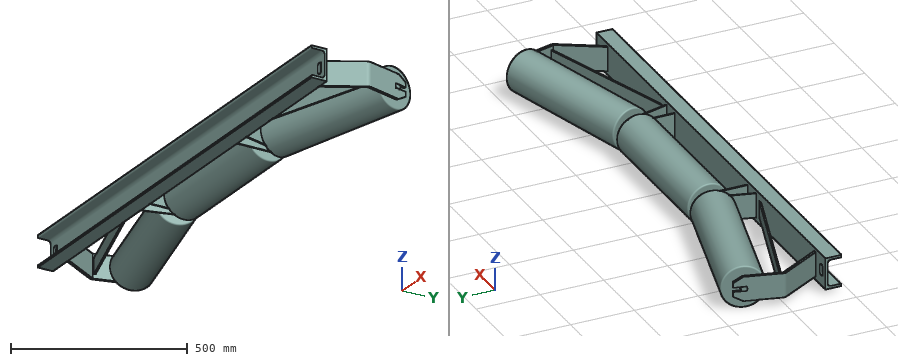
import cadquery as cq
import math

BEAM_LENGTH = 1500.0
BEAM_HEIGHT = 100.0
BEAM_DEPTH = 50.0
WEB_THICKNESS = 8.0
FLANGE_THICKNESS = 8.4
BEAM_ROOT_RADIUS = 9.9
FLANGE_TOE_RADIUS = 3.8
MOUNT_SLOT_LENGTH = 33.0
MOUNT_SLOT_WIDTH = 18.0
MOUNT_SLOT_X = 722.0
MOUNT_SLOT_CORNER = 6.0

TROUGH_ANGLE = 15
ROLLER_DIAMETER = 132.0
ROLLER_LENGTH = 465.0
ROLLER_EDGE = 5.0
MIDDLE_ROLLER_Y = 169.0
SIDE_ROLLER_X = 495.0
SIDE_ROLLER_Y = 233.0
SHAFT_DIAMETER = 20.0
SHAFT_FLAT_WIDTH = 14.0

BRACKET_HEIGHT = 78.0
INNER_SHEET = 5.0
INNER_BEND_RADIUS = 12.0
INNER_BEND_X = 248.0
INNER_BEND_Y = 181.0

OUTER_SHEET = 8.0
KNEE_X = 762.0
KNEE_Y = 182.0
KNEE_RADIUS = 18.0
STRUT_ANGLE = 30
LEG_LENGTH = 149.0
LEG_CORNER_ALONG = 29.0
LEG_CORNER_ACROSS = 17.0

BRACE_SHEET = 5.0
BRACE_HEIGHT = 50.0
BRACE_FOOT_X = 315.0
BRACE_ANGLE = 18


def along(point, angle, distance):
    """Point reached from `point` by going `distance` at `angle` degrees in the XY plane."""
    turn = math.radians(angle)
    return (point[0] + distance * math.cos(turn), point[1] + distance * math.sin(turn))


def down_to_beam(point, angle):
    """Point where the line through `point` at `angle` degrees meets the top of the beam."""
    return along(point, angle, (BEAM_DEPTH - point[1]) / math.sin(math.radians(angle)))


def extrude_level(outline, height):
    """Extrude a closed XY outline evenly to both sides of the XY plane."""
    return outline.extrude(height / 2, both=True)


def place_at_axis(body, center, tilt):
    """Move a body modelled along X at the origin onto a roller axis."""
    return body.rotate((0, 0, 0), (0, 0, 1), tilt).translate((center[0], center[1], 0))


def with_mirror_copy(body):
    """The body on the +X side and its mirror image on the -X side, as separate solids."""
    return [body.val(), body.mirror("YZ").val()]


def distance_on_axis(point):
    """Signed distance of `point` from the side roller's center, along its tilted axis."""
    tilt = math.radians(TROUGH_ANGLE)
    return (point[0] - SIDE_ROLLER_X) * math.cos(tilt) + (point[1] - SIDE_ROLLER_Y) * math.sin(tilt)


MIDDLE_CENTER = (0, MIDDLE_ROLLER_Y)
SIDE_CENTER = (SIDE_ROLLER_X, SIDE_ROLLER_Y)
INNER_BEND = (INNER_BEND_X, INNER_BEND_Y)
KNEE = (KNEE_X, KNEE_Y)
INSIDE_RADIUS = INNER_BEND_RADIUS - INNER_SHEET

MIDDLE_SHAFT_END = INNER_BEND_X - INSIDE_RADIUS
SIDE_SHAFT_START = distance_on_axis(INNER_BEND) + INSIDE_RADIUS
SIDE_SHAFT_END = distance_on_axis(KNEE)


def make_beam():
    web_inside = BEAM_DEPTH - WEB_THICKNESS
    flange_gap = BEAM_HEIGHT - 2 * FLANGE_THICKNESS
    beam = cq.Workplane("XY").box(BEAM_LENGTH, BEAM_DEPTH, BEAM_HEIGHT).translate((0, BEAM_DEPTH / 2, 0))
    hollow = (
        cq.Workplane("XY")
        .box(BEAM_LENGTH, web_inside, flange_gap)
        .translate((0, web_inside / 2, 0))
        .edges(">Y and |X")
        .fillet(BEAM_ROOT_RADIUS)
    )
    slots = (
        cq.Workplane("XZ")
        .pushPoints([(-MOUNT_SLOT_X, 0), (MOUNT_SLOT_X, 0)])
        .rect(MOUNT_SLOT_WIDTH, MOUNT_SLOT_LENGTH)
        .extrude(-BEAM_DEPTH)
        .edges("|Y")
        .fillet(MOUNT_SLOT_CORNER)
    )
    inside_toe_edges = cq.selectors.BoxSelector(
        (-BEAM_LENGTH, -FLANGE_THICKNESS / 2, -flange_gap / 2 - FLANGE_THICKNESS / 2),
        (BEAM_LENGTH, FLANGE_THICKNESS / 2, flange_gap / 2 + FLANGE_THICKNESS / 2),
    )
    channel = beam.cut(hollow).edges("|X").edges(inside_toe_edges).fillet(FLANGE_TOE_RADIUS)
    return channel.cut(slots)


def make_shaft(start, end):
    """Round shaft along X with two flats across Z."""
    length = end - start
    round_bar = cq.Workplane("YZ", origin=(start, 0, 0)).circle(SHAFT_DIAMETER / 2).extrude(length)
    flats = cq.Workplane("YZ", origin=(start, 0, 0)).rect(SHAFT_DIAMETER, SHAFT_FLAT_WIDTH).extrude(length)
    return round_bar.intersect(flats)


def make_roller(shaft_start, shaft_end):
    shell = (
        cq.Workplane("YZ", origin=(-ROLLER_LENGTH / 2, 0, 0))
        .circle(ROLLER_DIAMETER / 2)
        .extrude(ROLLER_LENGTH)
        .edges()
        .fillet(ROLLER_EDGE)
    )
    return shell.union(make_shaft(shaft_start, shaft_end))


def make_shaft_notch(start, end):
    """Open-topped notch along X that the shaft drops into."""
    length = end - start
    opening = (
        cq.Workplane("XY")
        .box(length, ROLLER_DIAMETER, SHAFT_FLAT_WIDTH, centered=(False, False, True))
        .translate((start, 0, 0))
    )
    return opening.union(make_shaft(start, end))


def make_inner_bracket():
    upright_outside = (INNER_BEND_X - INNER_BEND_RADIUS, INNER_BEND_Y)
    upright_inside = (INNER_BEND_X - INSIDE_RADIUS, INNER_BEND_Y)
    tilted_outside = along(INNER_BEND, TROUGH_ANGLE, INNER_BEND_RADIUS)
    tilted_inside = along(INNER_BEND, TROUGH_ANGLE, INSIDE_RADIUS)
    leg_angle = TROUGH_ANGLE - 90
    outline = (
        cq.Workplane("XY")
        .moveTo(upright_outside[0], BEAM_DEPTH)
        .lineTo(*upright_outside)
        .threePointArc(along(INNER_BEND, 90, INNER_BEND_RADIUS), tilted_outside)
        .lineTo(*down_to_beam(tilted_outside, leg_angle))
        .lineTo(*down_to_beam(tilted_inside, leg_angle))
        .lineTo(*tilted_inside)
        .threePointArc(along(INNER_BEND, 90, INSIDE_RADIUS), upright_inside)
        .lineTo(upright_inside[0], BEAM_DEPTH)
        .close()
    )
    middle_notch = place_at_axis(make_shaft_notch(0, INNER_BEND_X), MIDDLE_CENTER, 0)
    side_notch = place_at_axis(make_shaft_notch(distance_on_axis(INNER_BEND), 0), SIDE_CENTER, TROUGH_ANGLE)
    return extrude_level(outline, BRACKET_HEIGHT).cut(middle_notch).cut(side_notch)


def make_outer_bracket():
    leg_angle = 90 + TROUGH_ANGLE
    strut_angle = 270 - STRUT_ANGLE
    half_bend = (TROUGH_ANGLE + STRUT_ANGLE) / 2
    inside_knee = along(KNEE, (leg_angle + strut_angle) / 2, OUTER_SHEET / math.cos(math.radians(half_bend)))
    leg_top = along(KNEE, leg_angle, LEG_LENGTH)
    outline = cq.Workplane("XY").polyline([
        KNEE,
        leg_top,
        along(leg_top, 180 + TROUGH_ANGLE, OUTER_SHEET),
        inside_knee,
        down_to_beam(inside_knee, strut_angle),
        down_to_beam(KNEE, strut_angle),
    ]).close()
    bracket = extrude_level(outline, BRACKET_HEIGHT)
    bracket = bracket.edges(">X and |Z").fillet(KNEE_RADIUS)

    leg_turn = math.radians(leg_angle)
    leg_frame = cq.Plane(
        origin=(leg_top[0], leg_top[1], 0),
        xDir=(0, 0, 1),
        normal=(-math.sin(leg_turn), math.cos(leg_turn), 0),
    )
    half = BRACKET_HEIGHT / 2
    for side in (-1, 1):
        corner = (
            cq.Workplane(leg_frame)
            .polyline([
                (side * half, 0),
                (side * (half - LEG_CORNER_ACROSS), 0),
                (side * half, -LEG_CORNER_ALONG),
            ])
            .close()
            .extrude(2 * OUTER_SHEET, both=True)
        )
        bracket = bracket.cut(corner)

    notch = place_at_axis(make_shaft_notch(0, SIDE_SHAFT_END + OUTER_SHEET), SIDE_CENTER, TROUGH_ANGLE)
    return bracket.cut(notch)


def make_brace(outer_bracket):
    foot = (BRACE_FOOT_X, BEAM_DEPTH)
    foot_width = BRACE_SHEET / math.sin(math.radians(BRACE_ANGLE))
    reach = (KNEE_X - BRACE_FOOT_X) / math.cos(math.radians(BRACE_ANGLE))
    head = along(foot, BRACE_ANGLE, reach)
    outline = cq.Workplane("XY").polyline([
        foot,
        (foot[0] + foot_width, BEAM_DEPTH),
        along(head, BRACE_ANGLE - 90, BRACE_SHEET),
        head,
    ]).close()
    trimmed = extrude_level(outline, BRACE_HEIGHT).cut(outer_bracket)
    return trimmed.solids("<X")


beam = make_beam()
inner_brackets = with_mirror_copy(make_inner_bracket())
outer_bracket = make_outer_bracket()
outer_brackets = with_mirror_copy(outer_bracket)
braces = with_mirror_copy(make_brace(outer_bracket))
middle_roller = place_at_axis(make_roller(-MIDDLE_SHAFT_END, MIDDLE_SHAFT_END), MIDDLE_CENTER, 0)
side_rollers = with_mirror_copy(
    place_at_axis(make_roller(SIDE_SHAFT_START, SIDE_SHAFT_END), SIDE_CENTER, TROUGH_ANGLE)
)

result = cq.Compound.makeCompound([
    beam.val(),
    *inner_brackets,
    *outer_brackets,
    *braces,
    middle_roller.val(),
    *side_rollers,
])